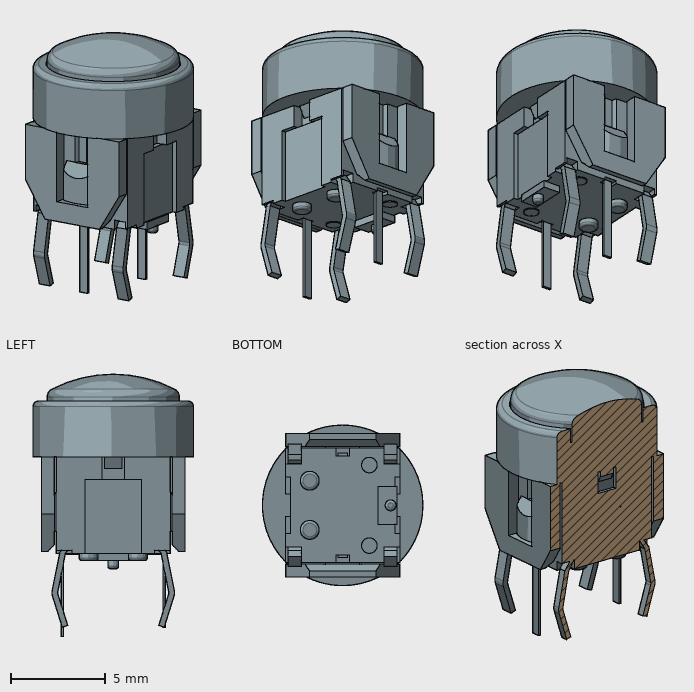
import cadquery as cq
import math


body_width = 6.04
half_body = body_width / 2
body_bottom = -0.03
panel_half_width = 1.5
panel_depth = 0.25
panel_top = 3.9

cap_diameter = 8.5
cap_bottom = 5.08
cap_top = 8.04
cap_fillet = 0.3
bore_diameter = 7.1
bore_depth = 0.8
button_diameter = 7.0
button_shoulder = 8.25
dome_radius = 3.22
dome_base = 8.68
dome_top = 9.46

latch_slot_half_width = 0.59
latch_slot_depth = 0.6
latch_wedge_half_width = 0.45
latch_wedge_bottom = 4.46
latch_wedge_reach = 0.33

arm_outer = 3.8
arm_thickness = 0.69
arm_inner = arm_outer - arm_thickness
arm_bottom = 0.07
arm_taper_start = 2.06
arm_bottom_half_width = 1.75
arm_chamfer = 0.37
window_half_width = 1.0
window_bottom = 1.15

catch_half_width = 0.9
catch_radius = 2.25
catch_front = 3.5
catch_tip_height = 2.53
catch_top = 3.28
catch_slope = 1.5

groove_half_width = 0.37
groove_floor_half_width = 0.29
groove_depth = 0.28
groove_bottom = 3.23

leg_width = 0.7
leg_x = 2.535
leg_top_outer = [(2.50, 0.47), (2.83, 0.03)]
leg_outer_bend = (3.265, -2.13)
leg_tip = [(2.70, -3.93), (2.40, -3.83)]
leg_inner_bend = (2.94, -2.12)
leg_top_inner = [(2.53, -0.03), (2.20, 0.47)]
leg_outer_bend_radius = 0.65
leg_inner_bend_radius = 0.35
leg_pocket_height = 0.47
corner_notch_height = 0.14
corner_notch_inner = 2.19

contact_width = 0.5
contact_thickness = 0.14
contact_y = 2.69
contact_embed = 0.5
contact_notch_half_width = 0.36
contact_notch_height = 0.14
front_contact_tip = -3.93
rear_contact_tip = -4.42

foot_diameter = 1.0
foot_x = -1.74
foot_y = 1.3
foot_height = 0.41
foot_fillet = 0.14
block_start = 1.88
block_end = 2.88
block_half_width = 1.0
peg_diameter = 0.58
peg_x = 2.535
peg_tip = -0.84
peg_fillet = 0.15
pad_diameter = 0.82
pad_x = 1.41
pad_y = 2.13
pad_height = 0.09


def box(x_range, y_range, z_range):
    """Box spanning the given (low, high) ranges."""
    lows, highs = zip(x_range, y_range, z_range)
    sizes = [high - low for low, high in zip(lows, highs)]
    return cq.Workplane("XY").box(*sizes, centered=False).translate(lows)


def both_ways(half):
    """Range centred on zero."""
    return (-half, half)


def front_and_back(shape):
    """The shape together with its mirror image across the XZ plane."""
    return shape.union(shape.mirror("XZ"))


def make_cap():
    ring = (
        cq.Workplane("XY", origin=(0, 0, cap_bottom))
        .circle(cap_diameter / 2)
        .extrude(cap_top - cap_bottom)
        .faces(">Z")
        .edges()
        .fillet(cap_fillet)
    )
    bore_floor = cap_top - bore_depth
    bore = cq.Workplane("XY", origin=(0, 0, bore_floor)).circle(bore_diameter / 2).extrude(bore_depth)
    return ring.cut(bore).union(make_button(bore_floor))


def make_button(floor):
    """Domed button with a rounded rim, revolved about Z."""
    rim = button_diameter / 2
    rise = dome_top - dome_base
    dome_sphere = (dome_radius**2 + rise**2) / (2 * rise)
    half_angle = math.asin(dome_radius / dome_sphere) / 2
    dome_middle = (
        dome_sphere * math.sin(half_angle),
        dome_top - dome_sphere * (1 - math.cos(half_angle)),
    )
    return (
        cq.Workplane("XZ")
        .moveTo(0, floor)
        .lineTo(rim, floor)
        .lineTo(rim, button_shoulder)
        .tangentArcPoint((dome_radius, dome_base), relative=False)
        .threePointArc(dome_middle, (0, dome_top))
        .close()
        .revolve(360, (0, 0, 0), (0, 1, 0))
    )


def make_body():
    body = box(both_ways(half_body), both_ways(half_body), (body_bottom, cap_bottom))
    for side in (-1, 1):
        body = body.cut(make_side_recess(side))
        body = body.union(make_latch_wedge(side))
    return body.cut(front_and_back(make_guide_groove()))


def make_side_recess(side):
    """Panel recess, open at the bottom, and the latch slot above it."""
    panel_floor = half_body - panel_depth
    slot_floor = half_body - latch_slot_depth
    panel = box((panel_floor, half_body), both_ways(panel_half_width), (body_bottom, panel_top))
    slot = box((slot_floor, half_body), both_ways(latch_slot_half_width), (panel_top, cap_bottom))
    recess = panel.union(slot)
    return recess if side > 0 else recess.mirror("YZ")


def make_latch_wedge(side):
    """Wedge in the latch slot with an overhanging sloped face."""
    slot_floor = half_body - latch_slot_depth
    return (
        cq.Workplane("XZ")
        .polyline(
            [
                (side * slot_floor, latch_wedge_bottom),
                (side * (slot_floor + latch_wedge_reach), cap_bottom),
                (side * slot_floor, cap_bottom),
            ]
        )
        .close()
        .extrude(latch_wedge_half_width, both=True)
    )


def make_guide_groove():
    """Vertical groove with drafted walls in the -Y face."""
    groove_floor = -half_body + groove_depth
    return (
        cq.Workplane("XY", origin=(0, 0, groove_bottom))
        .polyline(
            [
                (-groove_half_width, -half_body),
                (groove_half_width, -half_body),
                (groove_floor_half_width, groove_floor),
                (-groove_floor_half_width, groove_floor),
            ]
        )
        .close()
        .extrude(cap_bottom - groove_bottom)
    )


def make_catch():
    """Catch on the -Y face: round front, top sloping down and outward."""
    sagitta = catch_radius - math.sqrt(catch_radius**2 - catch_half_width**2)
    catch_side = catch_front - sagitta
    catch = (
        cq.Workplane("XY", origin=(0, 0, window_bottom))
        .moveTo(-catch_half_width, -half_body)
        .lineTo(-catch_half_width, -catch_side)
        .threePointArc((0, -catch_front), (catch_half_width, -catch_side))
        .lineTo(catch_half_width, -half_body)
        .close()
        .extrude(catch_top - window_bottom)
    )
    slope_run = (catch_top - catch_tip_height) / catch_slope
    above_slope = (
        cq.Workplane("YZ")
        .polyline(
            [
                (-catch_front, catch_tip_height),
                (-catch_front + slope_run, catch_top),
                (-catch_front, catch_top),
            ]
        )
        .close()
        .extrude(catch_half_width, both=True)
    )
    return catch.cut(above_slope)


def make_arm():
    """Tapered plate with a window, on the -Y side."""
    arm = (
        cq.Workplane("XZ", origin=(0, -arm_inner, 0))
        .polyline(
            [
                (-half_body, cap_bottom),
                (-half_body, arm_taper_start),
                (-arm_bottom_half_width, arm_bottom),
                (arm_bottom_half_width, arm_bottom),
                (half_body, arm_taper_start),
                (half_body, cap_bottom),
            ]
        )
        .close()
        .extrude(arm_thickness)
    )
    inner_corner = (
        cq.Workplane("YZ")
        .polyline(
            [
                (-arm_inner, arm_bottom),
                (-arm_inner, arm_bottom + arm_chamfer),
                (-arm_inner - arm_chamfer, arm_bottom),
            ]
        )
        .close()
        .extrude(half_body, both=True)
    )
    window = box(both_ways(window_half_width), (-arm_outer, -arm_inner), (window_bottom, cap_bottom))
    return arm.cut(inner_corner).cut(window)


def make_leg(x_center):
    """Leg on the -Y side, bent outward and back in, with rounded bends."""
    outline = [*leg_top_outer, leg_outer_bend, *leg_tip, leg_inner_bend, *leg_top_inner]
    leg = (
        cq.Workplane("YZ", origin=(x_center, 0, 0))
        .polyline([(-distance, height) for distance, height in outline])
        .close()
        .extrude(leg_width / 2, both=True)
    )
    bends = [
        (leg_outer_bend, leg_outer_bend_radius),
        (leg_inner_bend, leg_inner_bend_radius),
    ]
    for (distance, height), radius in bends:
        bend_edge = cq.NearestToPointSelector((x_center, -distance, height))
        leg = leg.edges(bend_edge).fillet(radius)
    return leg


def make_leg_clearance(side):
    """Pocket around the leg root and shallow notch under the corner of the housing."""
    leg_inner = leg_x - leg_width / 2
    leg_outer = leg_x + leg_width / 2
    y_range = (-half_body, -corner_notch_inner)
    pocket = box((leg_inner, leg_outer), y_range, (body_bottom, leg_pocket_height))
    notch = box((leg_inner, half_body), y_range, (body_bottom, corner_notch_height))
    clearance = pocket.union(notch)
    return clearance if side > 0 else clearance.mirror("YZ")


def make_contact_notch():
    """Notch under the -Y face that exposes the root of the contact pin."""
    y_range = (-half_body, -contact_y + contact_thickness / 2)
    return box(both_ways(contact_notch_half_width), y_range, (body_bottom, contact_notch_height))


def make_contact(y_center, tip):
    half_thickness = contact_thickness / 2
    y_range = (y_center - half_thickness, y_center + half_thickness)
    return box(both_ways(contact_width / 2), y_range, (tip, contact_embed))


def make_foot():
    foot = (
        cq.Workplane("XY")
        .center(foot_x, -foot_y)
        .circle(foot_diameter / 2)
        .extrude(-foot_height)
    )
    return foot.faces("<Z").edges().fillet(foot_fillet)


def make_peg():
    """Locating peg standing on a rectangular block."""
    block = box((block_start, block_end), both_ways(block_half_width), (-foot_height, 0))
    peg = cq.Workplane("XY").center(peg_x, 0).circle(peg_diameter / 2).extrude(peg_tip)
    return block.union(peg.faces("<Z").edges().fillet(peg_fillet))


def make_pad():
    return cq.Workplane("XY").center(pad_x, -pad_y).circle(pad_diameter / 2).extrude(-pad_height)


body = make_body().cut(front_and_back(make_contact_notch()))
for side in (-1, 1):
    body = body.cut(front_and_back(make_leg_clearance(side)))
    body = body.union(front_and_back(make_leg(side * leg_x)))

body = body.union(front_and_back(make_catch()))
body = body.union(make_contact(-contact_y, front_contact_tip))
body = body.union(make_contact(contact_y, rear_contact_tip))
body = body.union(front_and_back(make_foot()))
body = body.union(make_peg())
body = body.union(front_and_back(make_pad()))

result = body.union(make_cap()).union(front_and_back(make_arm()))